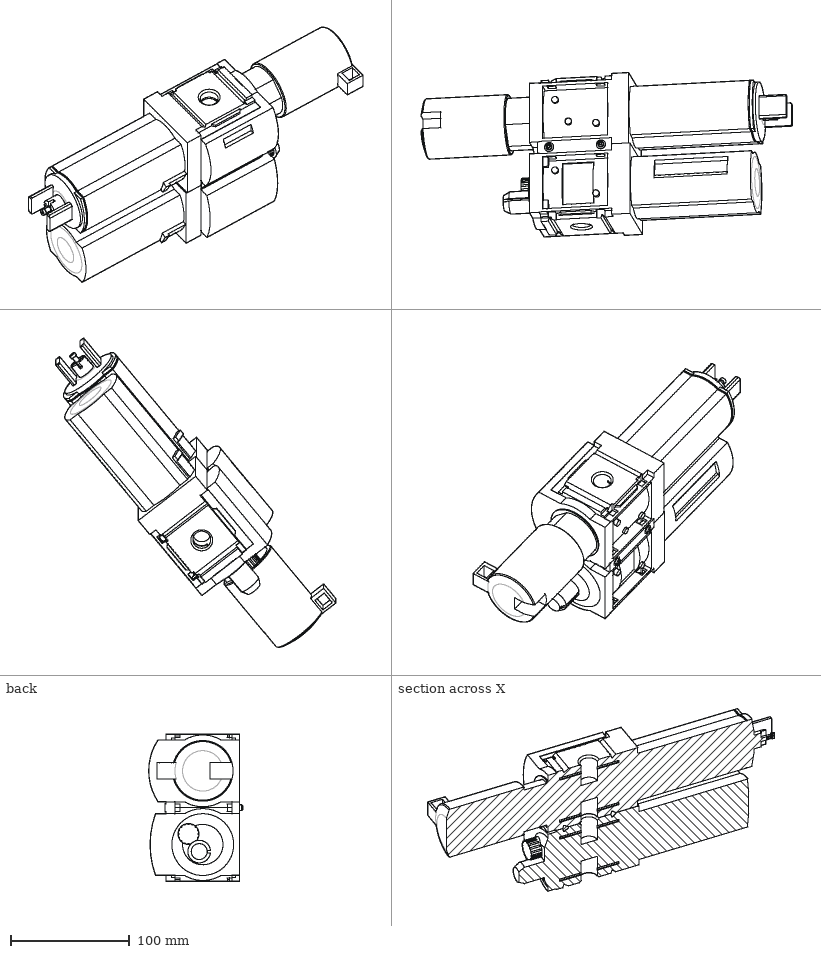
import cadquery as cq
import math


UNIT = 62.0
HALF = UNIT / 2
HOUSING_TOP = 39.0
REGULATOR_HOUSING_END = -45.7
LUBRICATOR_HOUSING_END = -46.8

PORT_DIAMETER = 15.0
PORT_MOUTH_DIAMETER = 18.4
PORT_CHAMFER = (PORT_MOUTH_DIAMETER - PORT_DIAMETER) / 2
PORT_DEPTH = 22.0
PAD_LEFT, PAD_RIGHT = -24.4, 23.4
PAD_TOP, PAD_BOTTOM = 30.8, -31.2
EDGE_RECESS = 5.4
BAND_RECESS = 5.0
CAP_RADIUS = 30.2
KEY_BAR_LEFT, KEY_BAR_RIGHT = -20.7, 19.3
KEY_BAR_BOTTOM = 22.0
GROOVES = ((24.7, 19.3), (-20.6, -24.8))
GROOVE_DEPTH = 3.0
GROOVE_DRAFT = 0.9
TAB_REACH, TAB_THICK = 3.0, 2.0
TAB_ROOT_HALF, TAB_TIP_HALF = 15.0, 12.8
OPENING_LEFT, OPENING_RIGHT = -28.7, -22.5
OPENING_WIDTH, OPENING_DEPTH = 7.0, 9.0
OPENING_CENTRES = (20.8, -20.8)

BOWL_LEFT, BOWL_RIGHT = -28.3, 27.9
BOWL_CORNER_X, BOWL_FLAT_Z = 22.3, 21.3
REGULATOR_BOWL_RADIUS = 50.36 / 2
LUBRICATOR_BOWL_RADIUS = 51.0 / 2

POCKET_HALF_HEIGHT = 23.0
POCKET_TOP, POCKET_BOTTOM = 27.8, -27.8
PIN_DIAMETER, PIN_END_X = 5.5, -29.5
CORNER_PINS = [(17.5, 11.0), (-17.5, -11.0)]
EXTRA_PIN = (6.2, -8.5)
GAUGE_TOP, GAUGE_BOTTOM, GAUGE_HALF_HEIGHT, GAUGE_FLOOR_X = 11.8, -14.8, 18.0, -22.0
CLIP_LENGTH, CLIP_INNER_Z, CLIP_END_X = 4.2, 14.8, -29.0

COVER_HALF_HEIGHT = 26.0
COVER_TOP, COVER_BOTTOM = HOUSING_TOP, -31.6
REGULATOR_COVER_EDGE, REGULATOR_COVER_CREST = 37.7, 45.55
LUBRICATOR_COVER_EDGE, LUBRICATOR_COVER_CREST = 39.8, 44.4
WINDOW_HALF_LENGTH, WINDOW_FLOOR_X, WINDOW_Z = 14.5, 39.7, 15.0

LATCH_X, LATCH_Z, LATCH_TILT = 26.0, -13.3, 25.0
LATCH_THICK, LATCH_WIDTH, LATCH_LENGTH = 3.2, 12.0, 17.8
LATCH_NOSE_REACH, LATCH_NOSE_LENGTH = 1.6, 4.5

REGULATOR_BOWL_END = -150.9
BOWL_GROOVE_Y, BOWL_GROOVE_WIDTH, BOWL_GROOVE_DEPTH = -147.4, 1.0, 0.4
RIM_END, CONE_END, CONE_END_RADIUS = -153.0, -155.2, 11.0
LUG_INNER_X, LUG_OUTER_X, LUG_HALF_HEIGHT, LUG_CHAMFER = 11.0, 15.2, 10.0, 1.8
LUG_END = -177.64
DRAIN_DIAMETER, DRAIN_END = 15.0, -166.9
DRAIN_SLOT_WIDTH, DRAIN_SLOT_DEPTH, DRAIN_SLOTS = 2.4, 5.0, 4
STEM_DIAMETER, STEM_END = 4.0, -174.4
STEM_HEAD_DIAMETER, STEM_HEAD_LENGTH = 5.5, 2.5
STEM_BORE = 1.6

LUBRICATOR_BOWL_END = -149.2
BASE_RADIUS, BASE_INNER_RADIUS, BASE_END = 22.0, 11.7, -150.1
SIGHT_TOP, SIGHT_BOTTOM = -66.9, -129.4
SIGHT_UPPER, SIGHT_LOWER, SIGHT_UPPER_X = 16.5, 0.0, -24.9
SIGHT_SHELF, SIGHT_SHELF_X = 2.6, -26.8
SIGHT_FLOOR_UPPER = (-22.9, 13.6)
SIGHT_FLOOR_MIDDLE = (-24.3, 8.1)
SIGHT_FLOOR_LOWER = (-25.0, SIGHT_SHELF)

COLLAR_RADIUS, COLLAR_END = 24.5, 40.0
NECK_X, NECK_RADIUS, NECK_END = -0.7, 22.2, 61.0
NECK_FLAT, NECK_FLAT_ANGLE = 20.1, -45.0
KNOB_RADIUS, KNOB_END, KNOB_SHOULDER = 51.0 / 2, 134.4, 132.0
KNOB_END_RADIUS, KNOB_EDGE, KNOB_RIM_DROP = 17.0, 0.8, 1.0
LOCK_HALF_HEIGHT, LOCK_BOTTOM, LOCK_FLOOR_X = 7.0, 115.9, -6.0
HOOK_END_X, HOOK_TOP = 38.6, 132.4
HOOK_WALL = 2.3
HOOK_SLOT_TOP, HOOK_SLOT_BOTTOM = 130.2, 119.6

DOME_RADIUS, DOME_END, DOME_END_RADIUS = 26.0, 42.3, 17.0
FILL_X, FILL_Z, FILL_DIAMETER, FILL_END = 3.0, -5.9, 19.0, 66.4
FILL_SHOULDER, FILL_END_RADIUS = 61.0, 6.7
FILL_GROOVE_WIDTH, FILL_GROOVE_DEPTH = 2.0, 2.5
SCREW_CAP_X, SCREW_CAP_Z, SCREW_CAP_DIAMETER, SCREW_CAP_END = 12.0, 8.9, 17.6, 52.4
SCREW_CAP_FLUTES, FLUTE_DIAMETER, FLUTE_END = 16, 1.4, 43.0

CLAMP_TOP = 32.2
CLAMP_RIDGE, CLAMP_RIDGE_HALF = 0.8, 3.5
SCREW_SPACING = 44.3
SCREW_SEAT_DIAMETER, SCREW_SEAT_DEPTH = 7.8, 2.0
SCREW_SHANK_DIAMETER, SCREW_SHANK_LENGTH = 4.0, 3.5
SCREW_HEAD_DIAMETER, SCREW_HEAD_END = 5.0, -33.75
SCREW_HEAD_CHAMFER = 1.0
SCREW_SOCKET, SCREW_SOCKET_DEPTH = 2.5, 1.8


def block(x_from, x_to, y_from, y_to, z_from, z_to):
    """Axis-parallel box between the given limits."""
    size = (abs(x_to - x_from), abs(y_to - y_from), abs(z_to - z_from))
    middle = ((x_from + x_to) / 2, (y_from + y_to) / 2, (z_from + z_to) / 2)
    return cq.Workplane("XY").box(*size).translate(middle)


def section_at(y):
    """Workplane across the unit at height y; its local axes are X and Z."""
    return cq.Workplane("XZ", origin=(0, y, 0))


def cylinder(diameter, y_from, y_to, x=0.0, z=0.0):
    """Round bar along Y."""
    return section_at(y_from).center(x, z).circle(diameter / 2).extrude(y_from - y_to)


def bar_along_x(diameter, x_from, x_to, y, z=0.0):
    """Round bar along X."""
    return cq.Workplane("YZ", origin=(x_from, y, z)).circle(diameter / 2).extrude(x_to - x_from)


def turned(points):
    """Solid of revolution about Y from (radius, y) corner points."""
    return cq.Workplane("XY").polyline(points).close().revolve(360, (0, 0, 0), (0, 1, 0))


def both_faces(feature):
    """Feature on the +Z face together with its mirror on the -Z face."""
    return feature.union(feature.mirror("XY"))


def bowl_core(y_from, y_to):
    """Bar along Y with two bowed sides and two flats."""
    return (
        section_at(y_from)
        .moveTo(-BOWL_CORNER_X, BOWL_FLAT_Z)
        .lineTo(BOWL_CORNER_X, BOWL_FLAT_Z)
        .threePointArc((BOWL_RIGHT, 0), (BOWL_CORNER_X, -BOWL_FLAT_Z))
        .lineTo(-BOWL_CORNER_X, -BOWL_FLAT_Z)
        .threePointArc((BOWL_LEFT, 0), (-BOWL_CORNER_X, BOWL_FLAT_Z))
        .close()
        .extrude(y_from - y_to)
    )


def bowl_prism(y_from, y_to, bulge_radius):
    """Bowl cross-section: the core with a round bulge over its flats."""
    return bowl_core(y_from, y_to).union(cylinder(2 * bulge_radius, y_from, y_to))


def groove_cutter(steep_y, shallow_y):
    """Three-cornered key groove across the +Z face."""
    profile = [(steep_y, HALF), (steep_y - GROOVE_DRAFT, HALF - GROOVE_DEPTH), (shallow_y, HALF)]
    return cq.Workplane("YZ", origin=(PAD_LEFT, 0, 0)).polyline(profile).close().extrude(PAD_RIGHT - PAD_LEFT)


def face_cutter():
    """Everything removed from the +Z face: clamp seats, end band, key grooves and port."""
    seat_floor = HALF - EDGE_RECESS
    cutter = block(-HALF, PAD_LEFT, PAD_BOTTOM, PAD_TOP, seat_floor, HALF)
    cutter = cutter.union(block(PAD_RIGHT, HALF, PAD_BOTTOM, PAD_TOP, seat_floor, HALF))
    band = block(-HALF, HALF, PAD_TOP, HOUSING_TOP, HALF - BAND_RECESS, HALF)
    cutter = cutter.union(band.cut(cylinder(2 * CAP_RADIUS, HOUSING_TOP, PAD_TOP)))
    for x_from, x_to in ((PAD_LEFT, KEY_BAR_LEFT), (KEY_BAR_RIGHT, PAD_RIGHT)):
        cutter = cutter.union(block(x_from, x_to, KEY_BAR_BOTTOM, PAD_TOP, HALF - GROOVE_DEPTH, HALF))
    for steep_y, shallow_y in GROOVES:
        cutter = cutter.union(groove_cutter(steep_y, shallow_y))
    port = cq.Workplane("XY", origin=(0, 0, HALF)).circle(PORT_DIAMETER / 2).extrude(-PORT_DEPTH)
    mouth = (
        cq.Workplane("XY", origin=(0, 0, HALF))
        .circle(PORT_MOUTH_DIAMETER / 2)
        .workplane(offset=-PORT_CHAMFER)
        .circle(PORT_DIAMETER / 2)
        .loft()
    )
    return cutter.union(port).union(mouth)


def face_tab(root_x, direction):
    """Low trapezoid tab standing in a clamp seat beside the pad."""
    tip_x = root_x + direction * TAB_REACH
    outline = [
        (root_x, TAB_ROOT_HALF),
        (tip_x, TAB_TIP_HALF),
        (tip_x, -TAB_TIP_HALF),
        (root_x, -TAB_ROOT_HALF),
    ]
    seat_floor = HALF - EDGE_RECESS
    return cq.Workplane("XY", origin=(0, 0, seat_floor)).polyline(outline).close().extrude(TAB_THICK)


def opening_cutter(y):
    """Opening from a groove end through the clamp seat into the side pocket."""
    half_width = OPENING_WIDTH / 2
    floor = HALF - OPENING_DEPTH
    return block(OPENING_LEFT, OPENING_RIGHT, y - half_width, y + half_width, floor, HALF)


def side_cover(edge_x, crest_x):
    """Cover with a bowed outer face on the +X side."""
    return (
        section_at(COVER_TOP)
        .moveTo(HALF, COVER_HALF_HEIGHT)
        .lineTo(edge_x, COVER_HALF_HEIGHT)
        .threePointArc((crest_x, 0), (edge_x, -COVER_HALF_HEIGHT))
        .lineTo(HALF, -COVER_HALF_HEIGHT)
        .close()
        .extrude(COVER_TOP - COVER_BOTTOM)
    )


def latch(y_top):
    """Bowl release latch with a raised nose, tilted to follow the bowl side."""
    half_thick = LATCH_THICK / 2
    half_width = LATCH_WIDTH / 2
    y_end = y_top - LATCH_LENGTH
    strip = block(-half_thick, half_thick, y_top, y_end, -half_width, half_width)
    nose_reach = half_thick + LATCH_NOSE_REACH
    nose = block(-half_thick, nose_reach, y_end, y_end - LATCH_NOSE_LENGTH, -half_width, half_width)
    tilted = strip.union(nose).rotate((0, 0, 0), (0, 1, 0), LATCH_TILT)
    return tilted.translate((LATCH_X, 0, LATCH_Z))


def housing(end_y, pins):
    """Square housing with port faces, side pocket with pins, and bowl latch."""
    body = block(-HALF, HALF, HOUSING_TOP, end_y, -HALF, HALF)
    body = body.cut(both_faces(face_cutter()))
    for root_x, direction in ((PAD_LEFT, -1), (PAD_RIGHT, 1)):
        body = body.union(both_faces(face_tab(root_x, direction)))

    pocket = block(-HALF, 0, POCKET_TOP, POCKET_BOTTOM, -POCKET_HALF_HEIGHT, POCKET_HALF_HEIGHT)
    body = body.cut(pocket.cut(bowl_core(POCKET_TOP, POCKET_BOTTOM)))
    for y in OPENING_CENTRES:
        body = body.cut(both_faces(opening_cutter(y)))
    for y, z in pins:
        body = body.union(bar_along_x(PIN_DIAMETER, PIN_END_X, -BOWL_CORNER_X, y, z))
    return body.union(latch(end_y))


def regulator_bowl():
    """Bowl with a shallow groove around it near the end, and a coned bottom."""
    radius = REGULATOR_BOWL_RADIUS
    groove_end = BOWL_GROOVE_Y - BOWL_GROOVE_WIDTH
    bowl = bowl_prism(REGULATOR_HOUSING_END, BOWL_GROOVE_Y, radius)
    outline = bowl.faces("<Y").wires().toPending()
    web = outline.offset2D(-BOWL_GROOVE_DEPTH).extrude(BOWL_GROOVE_WIDTH, combine=False)
    rim = bowl_prism(groove_end, REGULATOR_BOWL_END, radius)
    end = turned([
        (0, REGULATOR_BOWL_END),
        (radius, REGULATOR_BOWL_END),
        (radius, RIM_END),
        (CONE_END_RADIUS, CONE_END),
        (0, CONE_END),
    ])
    return bowl.union(web).union(rim).union(end)


def drain():
    """Slotted drain boss with a headed stem, between two guard lugs."""
    boss = cylinder(DRAIN_DIAMETER, RIM_END, DRAIN_END)
    slot = block(
        STEM_DIAMETER / 2, DRAIN_DIAMETER / 2,
        DRAIN_END, DRAIN_END + DRAIN_SLOT_DEPTH,
        -DRAIN_SLOT_WIDTH / 2, DRAIN_SLOT_WIDTH / 2,
    )
    for index in range(DRAIN_SLOTS):
        boss = boss.cut(slot.rotate((0, 0, 0), (0, 1, 0), index * 360 / DRAIN_SLOTS))
    stem = cylinder(STEM_DIAMETER, DRAIN_END, STEM_END)
    stem = stem.union(cylinder(STEM_HEAD_DIAMETER, STEM_END + STEM_HEAD_LENGTH, STEM_END))
    stem = stem.cut(cylinder(STEM_BORE, DRAIN_END, STEM_END))
    lug = block(LUG_INNER_X, LUG_OUTER_X, RIM_END, LUG_END, -LUG_HALF_HEIGHT, LUG_HALF_HEIGHT)
    lug = lug.edges("|Y and >X").chamfer(LUG_CHAMFER).edges("|X and <Y").chamfer(LUG_CHAMFER / 2)
    return boss.union(stem).union(lug).union(lug.mirror("YZ"))


def knob():
    """Adjusting knob on a flatted neck, with a lock slot and a padlock hook."""
    neck = cylinder(2 * NECK_RADIUS, NECK_END, HOUSING_TOP, NECK_X)
    flats = block(-NECK_FLAT, NECK_FLAT, NECK_END, HOUSING_TOP, -UNIT, UNIT)
    neck = neck.intersect(flats.rotate((0, 0, 0), (0, 1, 0), NECK_FLAT_ANGLE))
    collar = cylinder(2 * COLLAR_RADIUS, COLLAR_END, HOUSING_TOP)
    grip = turned([
        (0, NECK_END),
        (KNOB_RADIUS - KNOB_EDGE, NECK_END),
        (KNOB_RADIUS, NECK_END + KNOB_EDGE),
        (KNOB_RADIUS, KNOB_SHOULDER - KNOB_RIM_DROP),
        (KNOB_RADIUS - KNOB_EDGE, KNOB_SHOULDER),
        (KNOB_END_RADIUS, KNOB_END),
        (0, KNOB_END),
    ])
    grip = grip.cut(block(
        -KNOB_RADIUS, LOCK_FLOOR_X,
        LOCK_BOTTOM, KNOB_END,
        -LOCK_HALF_HEIGHT, LOCK_HALF_HEIGHT,
    ))
    hook = block(0, HOOK_END_X, LOCK_BOTTOM, HOOK_TOP, -LOCK_HALF_HEIGHT, LOCK_HALF_HEIGHT)
    hook = hook.cut(block(
        KNOB_RADIUS + KNOB_EDGE, HOOK_END_X - HOOK_WALL,
        HOOK_SLOT_BOTTOM, HOOK_SLOT_TOP,
        -LOCK_HALF_HEIGHT, LOCK_HALF_HEIGHT,
    ))
    return neck.union(collar).union(grip).union(hook)


def filter_regulator():
    """Complete filter regulator, centred on the Y axis."""
    cover = side_cover(REGULATOR_COVER_EDGE, REGULATOR_COVER_CREST)
    cover = cover.cut(block(
        WINDOW_FLOOR_X, REGULATOR_COVER_CREST,
        WINDOW_HALF_LENGTH, -WINDOW_HALF_LENGTH,
        WINDOW_Z, COVER_HALF_HEIGHT,
    ))
    body = housing(REGULATOR_HOUSING_END, CORNER_PINS + [EXTRA_PIN])
    return body.union(cover).union(regulator_bowl()).union(drain()).union(knob())


def lubricator_bowl():
    """Bowl with a shallow coned bottom and a sunken sight window in the -X side."""
    bowl = bowl_prism(LUBRICATOR_HOUSING_END, LUBRICATOR_BOWL_END, LUBRICATOR_BOWL_RADIUS)
    base = turned([
        (0, LUBRICATOR_BOWL_END),
        (BASE_RADIUS, LUBRICATOR_BOWL_END),
        (BASE_INNER_RADIUS, BASE_END),
        (0, BASE_END),
    ])
    sight = (
        section_at(SIGHT_TOP)
        .moveTo(-HALF, SIGHT_UPPER)
        .lineTo(SIGHT_UPPER_X, SIGHT_UPPER)
        .lineTo(*SIGHT_FLOOR_UPPER)
        .threePointArc(SIGHT_FLOOR_MIDDLE, SIGHT_FLOOR_LOWER)
        .lineTo(SIGHT_SHELF_X, SIGHT_SHELF)
        .lineTo(BOWL_LEFT, SIGHT_LOWER)
        .lineTo(-HALF, SIGHT_LOWER)
        .close()
        .extrude(SIGHT_TOP - SIGHT_BOTTOM)
    )
    return bowl.union(base).cut(sight)


def lubricator_top():
    """Dome carrying the fluted adjusting screw and the grooved oil filler cap."""
    dome = turned([
        (0, HOUSING_TOP),
        (DOME_RADIUS, HOUSING_TOP),
        (DOME_END_RADIUS, DOME_END),
        (0, DOME_END),
    ])
    filler_radius = FILL_DIAMETER / 2
    filler = turned([
        (0, HOUSING_TOP),
        (filler_radius, HOUSING_TOP),
        (filler_radius, FILL_SHOULDER),
        (FILL_END_RADIUS, FILL_END),
        (0, FILL_END),
    ]).translate((FILL_X, 0, FILL_Z))
    half_groove = FILL_GROOVE_WIDTH / 2
    side_x = FILL_X - filler_radius
    filler = filler.cut(block(
        side_x, side_x + FILL_GROOVE_DEPTH,
        HOUSING_TOP, FILL_END,
        FILL_Z - half_groove, FILL_Z + half_groove,
    ))
    screw = cylinder(SCREW_CAP_DIAMETER, SCREW_CAP_END, HOUSING_TOP, SCREW_CAP_X, SCREW_CAP_Z)
    for index in range(SCREW_CAP_FLUTES):
        angle = 2 * math.pi * index / SCREW_CAP_FLUTES
        x = SCREW_CAP_X + SCREW_CAP_DIAMETER / 2 * math.cos(angle)
        z = SCREW_CAP_Z + SCREW_CAP_DIAMETER / 2 * math.sin(angle)
        screw = screw.cut(cylinder(FLUTE_DIAMETER, SCREW_CAP_END, FLUTE_END, x, z))
    return dome.union(screw).union(filler)


def pocket_clip(side):
    """Small clip in a corner of the side pocket; side is +1 or -1 along Z."""
    return block(
        CLIP_END_X, -BOWL_CORNER_X,
        POCKET_TOP, POCKET_TOP - CLIP_LENGTH,
        side * CLIP_INNER_Z, side * POCKET_HALF_HEIGHT,
    )


def lubricator():
    """Complete lubricator, centred on the Y axis."""
    body = housing(LUBRICATOR_HOUSING_END, CORNER_PINS)
    body = body.cut(block(
        -HALF, GAUGE_FLOOR_X,
        GAUGE_TOP, GAUGE_BOTTOM,
        -GAUGE_HALF_HEIGHT, GAUGE_HALF_HEIGHT,
    ))
    for side in (1, -1):
        body = body.union(pocket_clip(side))
    cover = side_cover(LUBRICATOR_COVER_EDGE, LUBRICATOR_COVER_CREST)
    return body.union(cover).union(lubricator_bowl()).union(lubricator_top())


def clamp_screw(y):
    """Screw with a flush flange, a protruding head with a hexagon socket, and a short shank."""
    flange_end = -HALF + SCREW_SEAT_DEPTH
    head = bar_along_x(SCREW_HEAD_DIAMETER, SCREW_HEAD_END, -HALF, y)
    head = head.faces("<X").chamfer(SCREW_HEAD_CHAMFER)
    flange = bar_along_x(SCREW_SEAT_DIAMETER, -HALF, flange_end, y)
    shank = bar_along_x(SCREW_SHANK_DIAMETER, flange_end, flange_end + SCREW_SHANK_LENGTH, y)
    socket = (
        cq.Workplane("YZ", origin=(SCREW_HEAD_END, y, 0))
        .polygon(6, SCREW_SOCKET)
        .extrude(SCREW_SOCKET_DEPTH)
    )
    return head.union(flange).union(shank).cut(socket)


def clamp():
    """Two bars in the seats on both sides of the joint, tied together through the key grooves."""
    left_bar = block(-HALF, PAD_LEFT, CLAMP_TOP, PAD_BOTTOM, -EDGE_RECESS, EDGE_RECESS)
    right_bar = block(PAD_RIGHT, HALF, CLAMP_TOP, PAD_BOTTOM, -EDGE_RECESS, EDGE_RECESS)
    ridge = block(HALF, HALF + CLAMP_RIDGE, CLAMP_TOP, PAD_BOTTOM, -CLAMP_RIDGE_HALF, CLAMP_RIDGE_HALF)
    body = left_bar.union(right_bar).union(ridge)
    for steep_y, shallow_y in GROOVES:
        body = body.union(both_faces(groove_cutter(steep_y, shallow_y).translate((0, 0, -HALF))))
    return body


regulator_body = filter_regulator().translate((0, 0, HALF))
lubricator_body = lubricator().translate((0, 0, -HALF))
screws = [clamp_screw(y) for y in (SCREW_SPACING / 2, -SCREW_SPACING / 2)]
clamp_body = clamp().cut(regulator_body).cut(lubricator_body)
for screw_body in screws:
    clamp_body = clamp_body.cut(screw_body)

result = cq.Compound.makeCompound(
    [regulator_body.val(), lubricator_body.val(), clamp_body.val()] + [screw.val() for screw in screws]
)